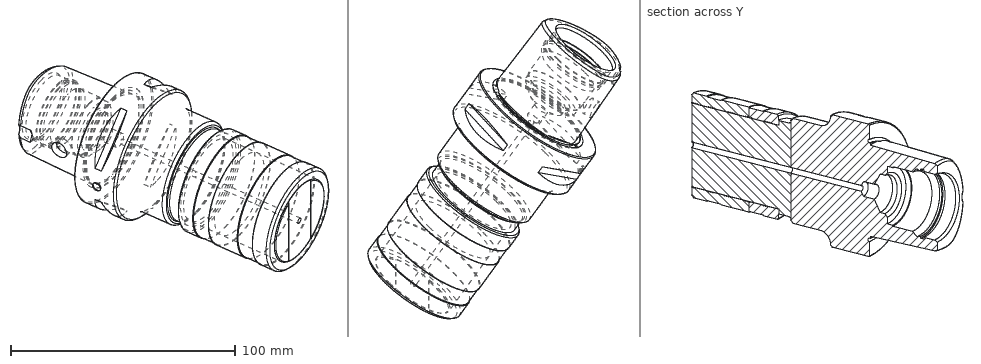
import cadquery as cq
import math


shank_length = 38.0
shank_mean_dia = 44.1
lobe_height = 1.4
taper_slope = 0.025
taper_end = -2.0
tip_chamfer_length = 1.5
tip_chamfer_depth = 0.8
lobe_half_angle = 27.0
points_per_face = 8
root_radius = 22.6
root_collar_length = 0.5
root_cone_large_radius = 23.6

flange_dia = 63.0
flange_length = 22.0
flange_front_chamfer = 0.5
flange_rear_chamfer = 1.0
face_groove_outer_radius = 24.2

body_dia = 50.0
body_end = 44.15
body_chamfer = 1.3

slot_count = 4
slot_position = 12.0
slot_floor_width = 3.3
slot_depth = 3.6
slot_wall_angle = 32.0

dimple_dia = 4.2
dimple_depth = 0.5
index_hole_dia = 8.1
index_hole_position = -15.4
index_hole_depth = 3.7
drill_point_angle = 118.0
key_notch_dia = 10.1
key_notch_axis_radius = 23.1
key_notch_length = 6.5
key_notch_point_angle = 90.0

mouth_radius = 16.1
mouth_chamfer_length = 1.6
front_bore_dia = 31.0
front_bore_depth = 7.6
ring_groove_dia = 32.6
ring_groove_end_depth = 9.4
round_groove_start_depth = 10.6
round_groove_end_depth = 12.3
round_groove_height = 0.3
middle_bore_dia = 28.0
middle_bore_end_depth = 25.0
rear_bore_dia = 27.1
bore_depth = 28.0
pocket_dia = 18.0
pocket_mouth_radius = 10.4
pocket_depth = 4.0
pilot_dia = 6.8
pilot_depth = 6.0
coolant_dia = 2.5

neck_dia = 44.6
neck_cone_radius = 22.7
neck_cone_length = 0.85
spindle_dia = 40.0
spindle_end = 100.0
spindle_chamfer = 0.5
drive_slot_width = 17.7
sleeve_bore_dia = 40.05
sleeve_dia = 50.0
relief_dia = 49.4
front_sleeve_start = 50.95
front_sleeve_chamfer = 0.7
front_relief_start = 59.15
rear_sleeve_start = 67.5
rear_relief_start = 82.9
rear_relief_end = 91.1
rear_sleeve_end = 99.6
rear_sleeve_chamfer = 1.2

radius_margin = 10.0


def turned(points):
    """Solid of revolution about X from (x, radius) points."""
    return cq.Workplane("XY").polyline(points).close().revolve(360, (0, 0), (1, 0))


def drill(dia, cylinder_depth, point_angle):
    """Drill-shaped cutter along +Z, with its mouth at the origin and its point at the far end."""
    radius = dia / 2
    point_length = radius / math.tan(math.radians(point_angle / 2))
    outline = [
        (0, -radius_margin),
        (radius, -radius_margin),
        (radius, cylinder_depth),
        (0, cylinder_depth + point_length),
    ]
    return cq.Workplane("XZ").polyline(outline).close().revolve(360, (0, 0), (0, 1))


def lobed_point(x, mean_radius, normal_angle):
    """Point of the three-lobed curve whose outward normal is normal_angle away from +Y."""
    angle = math.radians(normal_angle)
    reach = mean_radius + lobe_height * math.cos(3 * angle)
    slide = -3 * lobe_height * math.sin(3 * angle)
    y = reach * math.cos(angle) - slide * math.sin(angle)
    z = reach * math.sin(angle) + slide * math.cos(angle)
    return cq.Vector(x, y, z)


def lobed_wire(x, mean_radius):
    """Closed three-lobed outline at x: three lobes and three flanks."""
    edges = []
    for lobe_centre in (0, 120, 240):
        spans = (
            (lobe_centre - lobe_half_angle, lobe_centre + lobe_half_angle),
            (lobe_centre + lobe_half_angle, lobe_centre + 120 - lobe_half_angle),
        )
        for start, end in spans:
            step = (end - start) / points_per_face
            angles = [start + i * step for i in range(points_per_face + 1)]
            edges.append(cq.Edge.makeSpline([lobed_point(x, mean_radius, a) for a in angles]))
    return cq.Wire.assembleEdges(edges)


def lobed_frustum(x_start, radius_start, x_end, radius_end):
    wires = [lobed_wire(x_start, radius_start), lobed_wire(x_end, radius_end)]
    return cq.Workplane(cq.Solid.makeLoft(wires, True))


def make_shank():
    """Tapered shank with a chamfered tip, its lobes cut back beside the flange."""
    tip = -shank_length
    taper_start = tip + tip_chamfer_length
    large_radius = shank_mean_dia / 2
    small_radius = large_radius - (taper_end - taper_start) * taper_slope
    shank = (
        lobed_frustum(tip, small_radius - tip_chamfer_depth, taper_start, small_radius)
        .union(lobed_frustum(taper_start, small_radius, taper_end, large_radius))
        .union(lobed_frustum(taper_end, large_radius, flange_front_chamfer, large_radius))
    )
    cone_end = taper_end + root_cone_large_radius - root_radius
    envelope = turned([
        (tip, 0),
        (tip, flange_dia / 2),
        (taper_end, flange_dia / 2),
        (taper_end, root_cone_large_radius),
        (cone_end, root_radius),
        (flange_front_chamfer, root_radius),
        (flange_front_chamfer, 0),
    ])
    collar = turned([
        (-root_collar_length, 0),
        (-root_collar_length, root_radius),
        (flange_front_chamfer, root_radius),
        (flange_front_chamfer, 0),
    ])
    return shank.intersect(envelope).union(collar)


def make_flange_and_body():
    flange_radius = flange_dia / 2
    body_radius = body_dia / 2
    body_fillet = flange_radius - flange_rear_chamfer - body_radius
    return (
        cq.Workplane("XY")
        .lineTo(0, flange_radius - flange_front_chamfer)
        .lineTo(flange_front_chamfer, flange_radius)
        .lineTo(flange_length - flange_rear_chamfer, flange_radius)
        .lineTo(flange_length, flange_radius - flange_rear_chamfer)
        .radiusArc((flange_length + body_fillet, body_radius), -body_fillet)
        .lineTo(body_end - body_chamfer, body_radius)
        .lineTo(body_end, body_radius - body_chamfer)
        .lineTo(body_end, 0)
        .close()
        .revolve(360, (0, 0), (1, 0))
    )


def make_face_groove():
    """Half-round ring groove around the root of the shank."""
    middle = (root_radius + face_groove_outer_radius) / 2
    groove_radius = (face_groove_outer_radius - root_radius) / 2
    return (
        cq.Workplane("XY")
        .moveTo(0, root_radius)
        .threePointArc((groove_radius, middle), (0, face_groove_outer_radius))
        .close()
        .revolve(360, (0, 0), (1, 0))
    )


def make_gripper_slots():
    floor_radius = flange_dia / 2 - slot_depth
    half_floor = slot_floor_width / 2
    height = slot_depth + radius_margin
    half_top = half_floor + height * math.tan(math.radians(slot_wall_angle))
    trapezoid = [
        (slot_position - half_floor, floor_radius),
        (slot_position + half_floor, floor_radius),
        (slot_position + half_top, floor_radius + height),
        (slot_position - half_top, floor_radius + height),
    ]
    cutter = cq.Workplane("XZ").polyline(trapezoid).close().extrude(flange_dia / 2, both=True)
    slots = cq.Workplane("XY")
    for i in range(slot_count):
        angle = (i + 0.5) * 360 / slot_count
        slots = slots.add(cutter.rotate((0, 0, 0), (1, 0, 0), angle))
    return slots.combine()


def make_side_holes():
    """Index hole in the shank, dimple in the flange and key notch at the tip, all on the -Y side."""
    index_surface = shank_mean_dia / 2 - lobe_height + (index_hole_position - taper_end) * taper_slope
    index_hole = (
        drill(index_hole_dia, index_hole_depth, drill_point_angle)
        .rotate((0, 0, 0), (1, 0, 0), -90)
        .translate((index_hole_position, -index_surface, 0))
    )
    dimple = (
        drill(dimple_dia, dimple_depth, drill_point_angle)
        .rotate((0, 0, 0), (1, 0, 0), -90)
        .translate((slot_position, -flange_dia / 2, 0))
    )
    key_notch = (
        drill(key_notch_dia, key_notch_length, key_notch_point_angle)
        .rotate((0, 0, 0), (0, 1, 0), 90)
        .translate((-shank_length, -key_notch_axis_radius, 0))
    )
    return index_hole.union(dimple).union(key_notch)


def make_bore():
    """Stepped bore from the tip with two inner grooves, ending in a centred pocket and pilot hole."""
    tip = -shank_length
    bore_floor = tip + bore_depth
    pocket_radius = pocket_dia / 2
    pilot_radius = pilot_dia / 2
    point_slope = math.tan(math.radians(drill_point_angle / 2))
    pocket_start = bore_floor + pocket_mouth_radius - pocket_radius
    pocket_end = bore_floor + pocket_depth
    pilot_start = pocket_end + (pocket_radius - pilot_radius) / point_slope
    pilot_end = pilot_start + pilot_depth
    front_radius = front_bore_dia / 2
    middle_radius = middle_bore_dia / 2
    rear_radius = rear_bore_dia / 2
    ring_groove_radius = ring_groove_dia / 2
    ring_groove_start = tip + front_bore_depth
    ring_groove_end = tip + ring_groove_end_depth
    round_groove_start = tip + round_groove_start_depth
    round_groove_end = tip + round_groove_end_depth
    round_groove_middle = (round_groove_start + round_groove_end) / 2
    cone_end = round_groove_end + front_radius - middle_radius
    middle_bore_end = tip + middle_bore_end_depth
    return (
        cq.Workplane("XY")
        .moveTo(tip, 0)
        .lineTo(tip, mouth_radius)
        .lineTo(tip + mouth_chamfer_length, front_radius)
        .lineTo(ring_groove_start, front_radius)
        .lineTo(ring_groove_start, ring_groove_radius)
        .lineTo(ring_groove_end, ring_groove_radius)
        .lineTo(ring_groove_end, front_radius)
        .lineTo(round_groove_start, front_radius)
        .threePointArc(
            (round_groove_middle, front_radius + round_groove_height),
            (round_groove_end, front_radius),
        )
        .lineTo(cone_end, middle_radius)
        .lineTo(middle_bore_end, middle_radius)
        .lineTo(middle_bore_end, rear_radius)
        .lineTo(bore_floor, rear_radius)
        .lineTo(bore_floor, pocket_mouth_radius)
        .lineTo(pocket_start, pocket_radius)
        .lineTo(pocket_end, pocket_radius)
        .lineTo(pilot_start, pilot_radius)
        .lineTo(pilot_end, pilot_radius)
        .lineTo(pilot_end + pilot_radius / point_slope, 0)
        .close()
        .revolve(360, (0, 0), (1, 0))
    )


def make_coolant_hole():
    length = shank_length + spindle_end
    return cq.Workplane("YZ").workplane(offset=-shank_length).circle(coolant_dia / 2).extrude(length)


def make_holder():
    return (
        make_flange_and_body()
        .cut(make_gripper_slots())
        .cut(make_face_groove())
        .union(make_shank())
        .cut(make_side_holes())
        .cut(make_bore())
        .cut(make_coolant_hole())
    )


def make_spindle():
    """Neck behind the holder and a core inside the sleeves, with a drive slot across its end."""
    neck_radius = neck_dia / 2
    spindle_radius = spindle_dia / 2
    spindle = turned([
        (body_end, 0),
        (body_end, neck_cone_radius),
        (body_end + neck_cone_length, neck_radius),
        (front_sleeve_start, neck_radius),
        (front_sleeve_start, spindle_radius),
        (spindle_end - spindle_chamfer, spindle_radius),
        (spindle_end, spindle_radius - spindle_chamfer),
        (spindle_end, 0),
    ])
    drive_slot = (
        cq.Workplane("YZ")
        .workplane(offset=rear_sleeve_end)
        .rect(drive_slot_width, spindle_dia)
        .extrude(spindle_end - rear_sleeve_end)
    )
    return spindle.cut(drive_slot).cut(make_coolant_hole())


def make_front_sleeve():
    bore_radius = sleeve_bore_dia / 2
    outer_radius = sleeve_dia / 2
    relief_radius = relief_dia / 2
    step = outer_radius - relief_radius
    return turned([
        (front_sleeve_start, bore_radius),
        (front_sleeve_start, outer_radius - front_sleeve_chamfer),
        (front_sleeve_start + front_sleeve_chamfer, outer_radius),
        (front_relief_start, outer_radius),
        (front_relief_start + step, relief_radius),
        (rear_sleeve_start, relief_radius),
        (rear_sleeve_start, bore_radius),
    ])


def make_rear_sleeve():
    bore_radius = sleeve_bore_dia / 2
    outer_radius = sleeve_dia / 2
    relief_radius = relief_dia / 2
    step = outer_radius - relief_radius
    return turned([
        (rear_sleeve_start, bore_radius),
        (rear_sleeve_start, outer_radius),
        (rear_relief_start, outer_radius),
        (rear_relief_start + step, relief_radius),
        (rear_relief_end - step, relief_radius),
        (rear_relief_end, outer_radius),
        (rear_sleeve_end - rear_sleeve_chamfer, outer_radius),
        (rear_sleeve_end, outer_radius - rear_sleeve_chamfer),
        (rear_sleeve_end, bore_radius),
    ])


holder = make_holder()
spindle = make_spindle()
front_sleeve = make_front_sleeve()
rear_sleeve = make_rear_sleeve()

result = cq.Compound.makeCompound([
    holder.val(),
    spindle.val(),
    front_sleeve.val(),
    rear_sleeve.val(),
])